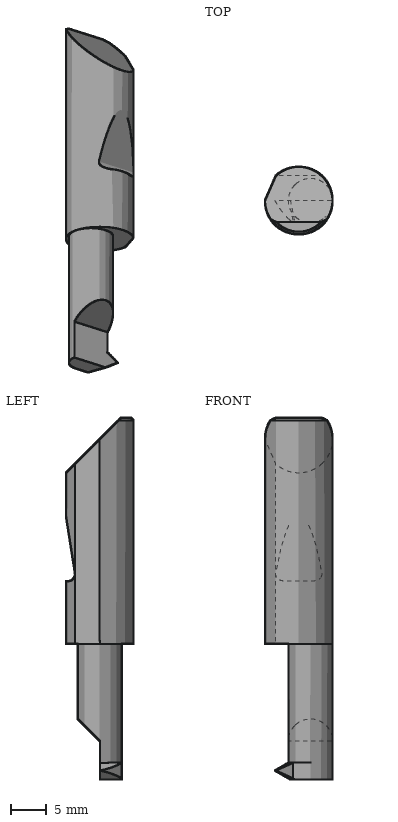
import cadquery as cq
import math

TOTAL_LENGTH = 50.8
SHANK_DIAMETER = 9.525
SHANK_RADIUS = SHANK_DIAMETER / 2
SHANK_BOTTOM_Z = 19.05
CLEARANCE = 5.0

TOP_CHAMFER = 0.4
TOP_LAND_Y = -3.0
SIDE_FLAT_END_Y = 3.5
NOTCH_DEPTH = 1.28
NOTCH_BOTTOM_Z = 27.85
NOTCH_TOP_Z = 37.0
NOTCH_RADIUS = 1.0

NECK_RADIUS = 3.11
NECK_CENTER_X = SHANK_RADIUS - NECK_RADIUS
NECK_SLOPE_BOTTOM_Z = 5.4

HEAD_HEIGHT = 2.42
TIP_X = -3.35
TIP_Z = 1.27
HEAD_CORNER_X = -0.83
NOSE_RADIUS = 10.0
FLANK_ANGLE = 30.0
FLANK_CLEARANCE = 6.5


def extrude_along_x(profile):
    """Extrude a YZ profile symmetrically across the whole part."""
    return profile.extrude(SHANK_RADIUS + CLEARANCE, both=True)


def make_shank():
    """Round shank with a chamfered top rim."""
    return (
        cq.Workplane("XY", origin=(0, 0, SHANK_BOTTOM_Z))
        .circle(SHANK_RADIUS)
        .extrude(TOTAL_LENGTH - SHANK_BOTTOM_Z)
        .faces(">Z")
        .chamfer(TOP_CHAMFER)
    )


def make_top_slope_cut():
    """Wedge above the 45 degree plane at the top of the shank."""
    run = SHANK_RADIUS + CLEARANCE - TOP_LAND_Y
    return extrude_along_x(
        cq.Workplane("YZ")
        .moveTo(TOP_LAND_Y, TOTAL_LENGTH)
        .lineTo(TOP_LAND_Y + run, TOTAL_LENGTH - run)
        .lineTo(TOP_LAND_Y + run, TOTAL_LENGTH)
        .close()
    )


def make_side_flat_cut():
    """Segment removed by the flat on the -X, +Y side of the shank."""
    end_x = -math.sqrt(SHANK_RADIUS**2 - SIDE_FLAT_END_Y**2)
    return (
        cq.Workplane("XY", origin=(0, 0, SHANK_BOTTOM_Z))
        .moveTo(-SHANK_RADIUS, 0)
        .lineTo(end_x, SIDE_FLAT_END_Y)
        .lineTo(end_x - CLEARANCE, SIDE_FLAT_END_Y)
        .lineTo(-SHANK_RADIUS - CLEARANCE, 0)
        .close()
        .extrude(TOTAL_LENGTH - SHANK_BOTTOM_Z)
    )


def make_notch_cut():
    """Ramped clamping notch on the +Y side, rounded at its deep end."""
    floor_y = SHANK_RADIUS - NOTCH_DEPTH
    arc_center_y = floor_y + NOTCH_RADIUS
    arc_center_z = NOTCH_BOTTOM_Z + NOTCH_RADIUS
    arc_offset = NOTCH_RADIUS * math.sqrt(0.5)
    outer_y = SHANK_RADIUS + CLEARANCE
    return extrude_along_x(
        cq.Workplane("YZ")
        .moveTo(SHANK_RADIUS, NOTCH_TOP_Z)
        .lineTo(floor_y, arc_center_z)
        .threePointArc(
            (arc_center_y - arc_offset, arc_center_z - arc_offset),
            (arc_center_y, NOTCH_BOTTOM_Z),
        )
        .lineTo(outer_y, NOTCH_BOTTOM_Z)
        .lineTo(outer_y, NOTCH_TOP_Z)
        .close()
    )


def make_neck():
    """Round neck, cut back to its -Y half near the cutting end."""
    neck = (
        cq.Workplane("XY")
        .center(NECK_CENTER_X, 0)
        .circle(NECK_RADIUS)
        .extrude(SHANK_BOTTOM_Z)
    )
    run = NECK_RADIUS + CLEARANCE
    half_cut = extrude_along_x(
        cq.Workplane("YZ")
        .moveTo(0, -CLEARANCE)
        .lineTo(0, NECK_SLOPE_BOTTOM_Z)
        .lineTo(run, NECK_SLOPE_BOTTOM_Z + run)
        .lineTo(run, -CLEARANCE)
        .close()
    )
    return neck.cut(half_cut)


def make_head_block():
    """Head outline with its curved nose, before the flanks are cut."""
    chord_x = HEAD_CORNER_X - TIP_X
    chord = math.hypot(chord_x, NECK_RADIUS)
    sagitta = NOSE_RADIUS - math.sqrt(NOSE_RADIUS**2 - (chord / 2) ** 2)
    nose_middle = (
        (TIP_X + HEAD_CORNER_X) / 2 - sagitta * NECK_RADIUS / chord,
        -NECK_RADIUS / 2 - sagitta * chord_x / chord,
    )
    return (
        cq.Workplane("XY")
        .moveTo(TIP_X, 0)
        .threePointArc(nose_middle, (HEAD_CORNER_X, -NECK_RADIUS))
        .lineTo(NECK_CENTER_X, -NECK_RADIUS)
        .lineTo(NECK_CENTER_X, 0)
        .close()
        .extrude(HEAD_HEIGHT)
    )


def make_flank_cut(side):
    """Material beyond one flank of the tip; side is +1 above, -1 below."""
    slope = math.tan(math.radians(FLANK_ANGLE))
    draw = math.tan(math.radians(FLANK_CLEARANCE))
    reach = NECK_RADIUS + CLEARANCE

    def flank_section(y):
        def flank_point(x):
            return (x, TIP_Z + side * (slope * (x - TIP_X) + draw * y))

        outer_z = TIP_Z + side * 2 * reach
        start_x = TIP_X - CLEARANCE
        end_x = TIP_X + reach
        points = [flank_point(start_x), flank_point(end_x), (end_x, outer_z), (start_x, outer_z)]
        return cq.Wire.makePolygon([cq.Vector(x, y, z) for x, z in points], close=True)

    return cq.Workplane(cq.Solid.makeLoft([flank_section(-reach), flank_section(reach)], True))


def make_cutting_end():
    """Neck and pointed head; the lower flank also trims the neck."""
    head = make_head_block().cut(make_flank_cut(1))
    return make_neck().union(head).cut(make_flank_cut(-1))


shank = make_shank().cut(make_top_slope_cut()).cut(make_side_flat_cut()).cut(make_notch_cut())
result = shank.union(make_cutting_end())